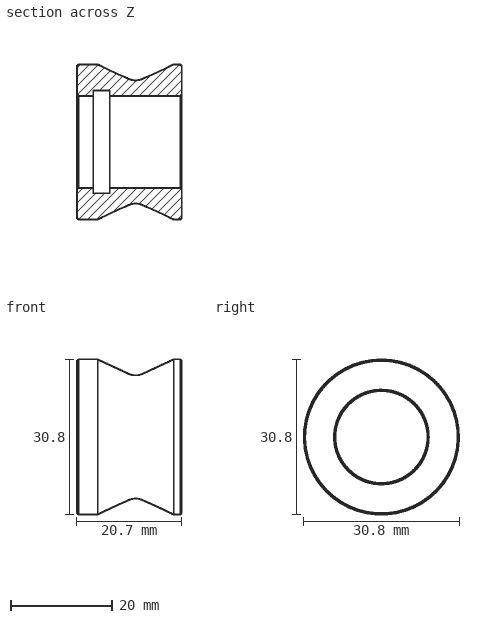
import cadquery as cq
import math

width = 20.73
outer_radius = 15.38
bore_radius = 9.07
edge_chamfer = 0.35

throat_x = 11.6
throat_radius = 12.2
throat_fillet = 3.23
groove_half_width = 7.55

ring_groove_start = 3.23
ring_groove_end = 6.45
ring_groove_depth = 1.08

fillet_to_rim = outer_radius - (throat_radius + throat_fillet)
flank_angle = math.asin(
    throat_fillet / math.hypot(groove_half_width, fillet_to_rim)
) + math.atan2(fillet_to_rim, groove_half_width)
tangent_offset = throat_fillet * math.sin(flank_angle)
tangent_radius = throat_radius + throat_fillet * (1 - math.cos(flank_angle))


def grooved_body():
    """Solid roller with the V groove, as a half section revolved about X."""
    return (
        cq.Workplane("XZ")
        .lineTo(0, outer_radius)
        .lineTo(throat_x - groove_half_width, outer_radius)
        .lineTo(throat_x - tangent_offset, tangent_radius)
        .threePointArc((throat_x, throat_radius), (throat_x + tangent_offset, tangent_radius))
        .lineTo(throat_x + groove_half_width, outer_radius)
        .lineTo(width, outer_radius)
        .lineTo(width, 0)
        .close()
        .revolve(360, (0, 0, 0), (1, 0, 0))
    )


def cylinder(radius, start, end):
    """Cylinder about the X axis between two X positions."""
    return cq.Workplane("YZ").workplane(offset=start).circle(radius).extrude(end - start)


body = grooved_body().cut(cylinder(bore_radius, 0, width))
body = body.faces("<X or >X").edges().chamfer(edge_chamfer)
ring_groove = cylinder(bore_radius + ring_groove_depth, ring_groove_start, ring_groove_end)
result = body.cut(ring_groove)